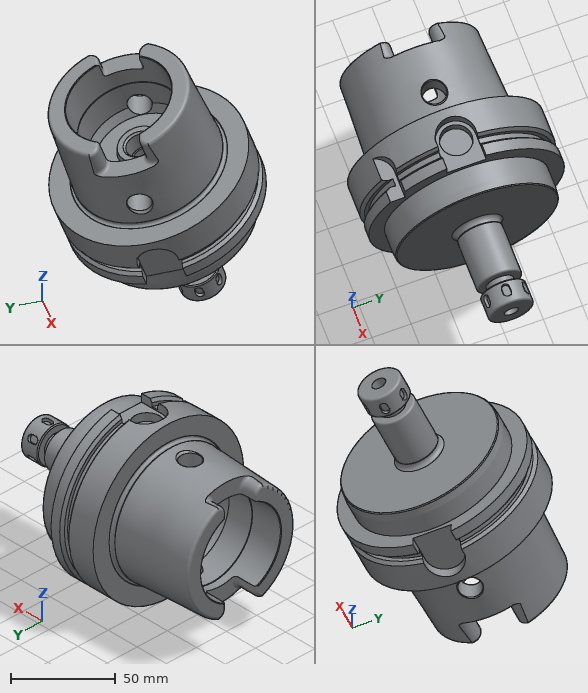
import cadquery as cq
import math

shank_length = 50.0
taper_slope = 1 / 20
shank_end_radius = 35.55
taper_end_x = -2.4
relief_start_x = -1.8
relief_end_x = -1.0
relief_radius = 37.4
root_fillet = 1.2
face_groove_radius = 39.4
face_groove_chamfer = 0.2
shank_end_fillet = 1.8

bore_diameter = 53.0
bore_mouth_diameter = 53.8
undercut_diameter = 53.8
undercut_start_x = -30.0
undercut_end_x = -13.8
bore_floor_x = -8.8
bore_floor_diameter = 49.2
boss_tip_x = -15.8
boss_diameter = 24.0
boss_tip_diameter = 22.0
boss_cone_length = 3.0

inlet_mouth_diameter = 16.0
inlet_diameter = 14.0
inlet_depth = 10.0
middle_bore_diameter = 12.0
middle_bore_depth = 20.0
through_diameter = 7.3

flange_diameter = 100.0
flange_width = 29.0
groove_center_x = 19.9
groove_top_width = 6.3
groove_floor_width = 3.7
groove_shoulder_radius = 48.1
groove_floor_radius = 46.0

disc_diameter = 84.0
disc_taper_start_x = 39.0
disc_end_x = 43.7
disc_end_radius = 41.6
disc_chamfer = 0.5

nose_diameter = 23.0
nose_fillet = 2.8
nose_groove_start_x = 46.3
nose_groove_floor_end_x = 46.9
nose_groove_end_x = 47.3
nose_groove_diameter = 22.6
nose_end_x = 74.0
nose_end_fillet = 1.0
nut_neck_diameter = 14.0
nut_start_x = 78.2
nut_end_x = 90.0
nut_rear_chamfer = 0.6
nut_front_fillet = 1.2

wrench_slot_count = 6
wrench_slot_center_x = 83.2
wrench_slot_length = 6.4
wrench_slot_width = 4.0
wrench_slot_depth = 2.0

drive_slot_half_width = 10.0
drive_corner_radius = 5.0
drive_corner_start_z = 27.3
drive_slot_floor_fillet = 2.0
top_drive_slot_depth = 9.8
bottom_drive_slot_depth = 14.7

radial_hole_x = -15.0
radial_hole_diameter = 12.1
radial_hole_mouth_diameter = 14.0

keyway_radius = 10.0
keyway_center_x = 14.8
keyway_floor_z = 44.0
chip_hole_diameter = 16.0
chip_hole_depth = 5.0
notch_floor_z = 31.5
notch_wall_y = -31.4

clearance = 5.0
edge_margin = 0.1


def axial_cylinder(diameter, start_x, length):
    return cq.Workplane("YZ", origin=(start_x, 0, 0)).circle(diameter / 2).extrude(length)


def axial_cone(start_diameter, end_diameter, start_x, length):
    cone = cq.Solid.makeCone(
        start_diameter / 2, end_diameter / 2, length, cq.Vector(start_x, 0, 0), cq.Vector(1, 0, 0)
    )
    return cq.Workplane(obj=cone)


def make_outer_body():
    """Revolve the outside of the shank, flange, disc, nose and nut."""
    taper_end_radius = shank_end_radius + taper_slope * (taper_end_x + shank_length - shank_end_fillet)
    flange_radius = flange_diameter / 2
    half_top = groove_top_width / 2
    half_floor = groove_floor_width / 2
    nose_radius = nose_diameter / 2
    nose_groove_radius = nose_groove_diameter / 2
    nose_root_reach = nose_groove_start_x - disc_end_x
    nose_root_radius = nose_groove_radius + nose_fillet - math.sqrt(nose_fillet**2 - nose_root_reach**2)
    neck_radius = nut_neck_diameter / 2
    disc_radius = disc_diameter / 2
    root_floor_x = relief_end_x + root_fillet
    root_radius = relief_radius + root_fillet
    profile = (
        cq.Workplane("XY")
        .moveTo(-shank_length, 0)
        .lineTo(-shank_length, shank_end_radius - shank_end_fillet)
        .radiusArc((-shank_length + shank_end_fillet, shank_end_radius), shank_end_fillet)
        .lineTo(taper_end_x, taper_end_radius)
        .lineTo(relief_start_x, relief_radius)
        .lineTo(relief_end_x, relief_radius)
        .radiusArc((root_floor_x, root_radius), -root_fillet)
        .lineTo(root_floor_x, face_groove_radius - face_groove_chamfer)
        .lineTo(0, face_groove_radius)
        .lineTo(0, flange_radius)
        .lineTo(groove_center_x - half_top, flange_radius)
        .lineTo(groove_center_x - half_floor, groove_shoulder_radius)
        .lineTo(groove_center_x - half_floor, groove_floor_radius)
        .lineTo(groove_center_x + half_floor, groove_floor_radius)
        .lineTo(groove_center_x + half_floor, groove_shoulder_radius)
        .lineTo(groove_center_x + half_top, flange_radius)
        .lineTo(flange_width, flange_radius)
        .lineTo(flange_width, disc_radius)
        .lineTo(disc_taper_start_x, disc_radius)
        .lineTo(disc_end_x - disc_chamfer, disc_end_radius)
        .lineTo(disc_end_x, disc_end_radius - disc_chamfer)
        .lineTo(disc_end_x, nose_root_radius)
        .radiusArc((nose_groove_start_x, nose_groove_radius), -nose_fillet)
        .lineTo(nose_groove_floor_end_x, nose_groove_radius)
        .lineTo(nose_groove_end_x, nose_radius)
        .lineTo(nose_end_x - nose_end_fillet, nose_radius)
        .radiusArc((nose_end_x, nose_radius - nose_end_fillet), nose_end_fillet)
        .lineTo(nose_end_x, neck_radius)
        .lineTo(nut_start_x, neck_radius)
        .lineTo(nut_start_x, nose_radius - nut_rear_chamfer)
        .lineTo(nut_start_x + nut_rear_chamfer, nose_radius)
        .lineTo(nut_end_x - nut_front_fillet, nose_radius)
        .radiusArc((nut_end_x, nose_radius - nut_front_fillet), nut_front_fillet)
        .lineTo(nut_end_x, 0)
        .close()
    )
    return profile.revolve(360, (0, 0, 0), (1, 0, 0))


def make_drive_tenon():
    """Bar along +Y with a round inner corner and a rounded end, bounding one wall of a drive slot."""
    corner_y = drive_slot_half_width + drive_corner_radius
    corner_z = drive_corner_start_z + drive_corner_radius
    arc_share = math.sqrt(0.5)
    outside_y = flange_diameter / 2
    tenon = (
        cq.Workplane("YZ", origin=(-shank_length, 0, 0))
        .moveTo(drive_slot_half_width, 0)
        .lineTo(drive_slot_half_width, drive_corner_start_z)
        .threePointArc(
            (
                corner_y - drive_corner_radius * arc_share,
                drive_corner_start_z + drive_corner_radius * arc_share,
            ),
            (corner_y, corner_z),
        )
        .lineTo(outside_y, corner_z)
        .lineTo(outside_y, 0)
        .close()
        .extrude(shank_length)
    )
    wall_box = cq.selectors.BoxSelector(
        (-shank_length - clearance, 0, clearance),
        (0, outside_y - clearance, corner_z + clearance),
    )
    return tenon.faces("<X").edges(wall_box).fillet(shank_end_fillet)


def make_drive_slot(depth):
    """Slot in the +Z side of the shank end, between two mirrored tenons."""
    slot_half_width = drive_slot_half_width + drive_corner_radius + clearance
    slot = cq.Workplane("XY", origin=(-shank_length, 0, 0)).box(
        depth, 2 * slot_half_width, flange_diameter / 2, centered=(False, True, False)
    )
    tenon = make_drive_tenon()
    slot = slot.cut(tenon).cut(tenon.mirror("XZ"))
    wall_box = cq.selectors.BoxSelector(
        (-shank_length, -slot_half_width + edge_margin, clearance),
        (0, slot_half_width - edge_margin, flange_diameter / 2 - clearance),
    )
    return slot.faces(">X").edges(wall_box).fillet(drive_slot_floor_fillet)


def cut_drive_slots(body):
    body = body.cut(make_drive_slot(top_drive_slot_depth))
    bottom_slot = make_drive_slot(bottom_drive_slot_depth).rotate((0, 0, 0), (1, 0, 0), 180)
    return body.cut(bottom_slot)


def make_shank_bore():
    """Hollow of the shank, leaving the boss on the floor."""
    bore_radius = bore_diameter / 2
    mouth_radius = bore_mouth_diameter / 2
    undercut_radius = undercut_diameter / 2
    mouth_chamfer = mouth_radius - bore_radius
    boss_radius = boss_diameter / 2
    profile = (
        cq.Workplane("XY")
        .moveTo(-shank_length, 0)
        .lineTo(-shank_length, mouth_radius)
        .lineTo(-shank_length + mouth_chamfer, bore_radius)
        .lineTo(undercut_start_x, bore_radius)
        .lineTo(undercut_start_x, undercut_radius)
        .lineTo(undercut_end_x, undercut_radius)
        .lineTo(bore_floor_x, bore_floor_diameter / 2)
        .lineTo(bore_floor_x, boss_radius)
        .lineTo(boss_tip_x + boss_cone_length, boss_radius)
        .lineTo(boss_tip_x, boss_tip_diameter / 2)
        .lineTo(boss_tip_x, 0)
        .close()
    )
    return profile.revolve(360, (0, 0, 0), (1, 0, 0))


def cut_axial_bore(body):
    mouth_chamfer = (inlet_mouth_diameter - inlet_diameter) / 2
    body = body.cut(axial_cone(inlet_mouth_diameter, inlet_diameter, boss_tip_x, mouth_chamfer))
    body = body.cut(axial_cylinder(inlet_diameter, boss_tip_x, inlet_depth))
    body = body.cut(axial_cylinder(middle_bore_diameter, boss_tip_x, middle_bore_depth))
    return body.cut(axial_cylinder(through_diameter, boss_tip_x, nut_end_x - boss_tip_x))


def cut_radial_holes(body):
    """Countersunk holes on the +Z and -Z sides, reaching inwards to the boss surface."""
    surface_z = shank_end_radius + taper_slope * (radial_hole_x + shank_length)
    sink = (radial_hole_mouth_diameter - radial_hole_diameter) / 2
    hole = (
        cq.Workplane("XY", origin=(radial_hole_x, 0, 0))
        .circle(radial_hole_diameter / 2)
        .extrude(surface_z + clearance)
    )
    countersink = cq.Solid.makeCone(
        radial_hole_diameter / 2,
        radial_hole_mouth_diameter / 2 + sink,
        2 * sink,
        cq.Vector(radial_hole_x, 0, surface_z - sink),
    )
    hole = hole.union(cq.Workplane(obj=countersink))
    hole = hole.cut(axial_cylinder(boss_diameter, -shank_length, shank_length))
    return body.cut(hole).cut(hole.rotate((0, 0, 0), (1, 0, 0), 180))


def make_keyway(center_y, floor_z):
    """Round-ended slot milled from +Z, open towards the front of the flange."""
    height = flange_diameter / 2 + clearance - floor_z
    plane = cq.Workplane("XY", origin=(keyway_center_x, center_y, floor_z))
    straight = plane.rect(flange_width - keyway_center_x, 2 * keyway_radius, centered=(False, True))
    return straight.extrude(height).union(plane.circle(keyway_radius).extrude(height))


def cut_keyways(body):
    keyway = make_keyway(0, keyway_floor_z)
    body = body.cut(keyway).cut(keyway.rotate((0, 0, 0), (1, 0, 0), 180))
    body = body.cut(make_keyway(notch_wall_y - keyway_radius, notch_floor_z))
    chip_hole = (
        cq.Workplane("XY", origin=(keyway_center_x, 0, keyway_floor_z - chip_hole_depth))
        .circle(chip_hole_diameter / 2)
        .extrude(chip_hole_depth)
    )
    return body.cut(chip_hole)


def cut_wrench_slots(body):
    slot = (
        cq.Workplane("XY", origin=(wrench_slot_center_x, 0, nose_diameter / 2 - wrench_slot_depth))
        .slot2D(wrench_slot_length, wrench_slot_width)
        .extrude(wrench_slot_depth + clearance)
    )
    for index in range(wrench_slot_count):
        body = body.cut(slot.rotate((0, 0, 0), (1, 0, 0), index * 360 / wrench_slot_count))
    return body


body = make_outer_body()
body = cut_drive_slots(body)
body = body.cut(make_shank_bore())
body = cut_axial_bore(body)
body = cut_radial_holes(body)
body = cut_keyways(body)
result = cut_wrench_slots(body)